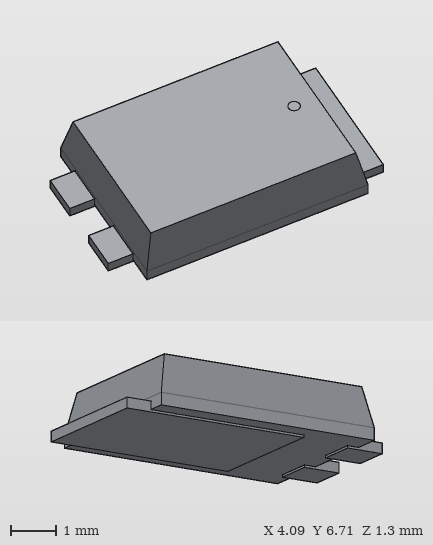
import cadquery as cq
import math

body_width = 4.09
body_length = 5.49
total_height = 1.3
standoff = 0.055
rim_height = 0.29
side_inset = 0.2

metal_thickness = 0.25
overhang = 0.61
tab_width = 3.21
tab_length = 4.55
lead_width = 0.93
lead_length = 0.89
lead_pitch = 1.825

mark_diameter = 0.275
mark_depth = 0.035
mark_edge_distance = 0.765

taper_height = total_height - standoff - rim_height
taper_angle = math.degrees(math.atan(side_inset / taper_height))
tab_end_y = body_length / 2 + overhang
lead_end_y = -tab_end_y


def make_tab():
    """Flat heat-sink tab, reaching out of the +Y end of the body."""
    return (
        cq.Workplane("XY")
        .box(tab_width, tab_length, metal_thickness, centered=(True, True, False))
        .translate((0, tab_end_y - tab_length / 2, 0))
    )


def make_lead(center_x):
    """Flat lead, reaching out of the -Y end of the body."""
    return (
        cq.Workplane("XY")
        .box(lead_width, lead_length, metal_thickness, centered=(True, True, False))
        .translate((center_x, lead_end_y + lead_length / 2, 0))
    )


def make_mark():
    """Thin disc set into the top face of the body."""
    return (
        cq.Workplane("XY", origin=(0, body_length / 2 - mark_edge_distance, total_height - mark_depth))
        .circle(mark_diameter / 2)
        .extrude(mark_depth)
    )


def make_body(inserts):
    """Straight rim with a tapered block above it, recessed for the inserts."""
    rim = (
        cq.Workplane("XY", origin=(0, 0, standoff))
        .rect(body_width, body_length)
        .extrude(rim_height)
    )
    body = (
        rim.faces(">Z").workplane()
        .rect(body_width, body_length)
        .extrude(taper_height, taper=taper_angle)
    )
    for insert in inserts:
        body = body.cut(insert)
    return body


tab = make_tab()
leads = [make_lead(side * lead_pitch / 2) for side in (-1, 1)]
mark = make_mark()
housing = make_body([tab, *leads, mark])

result = cq.Compound.makeCompound([
    housing.solids().val(),
    tab.val(),
    *[lead.val() for lead in leads],
    mark.val(),
])